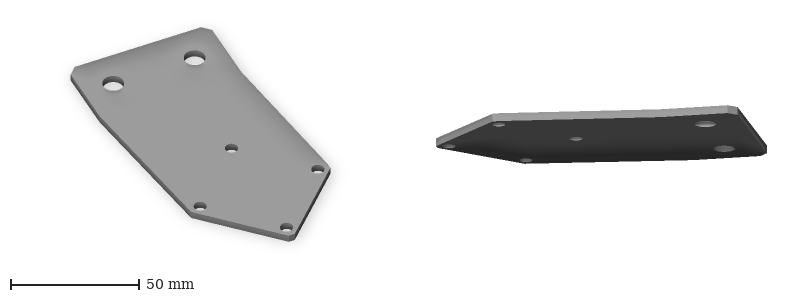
import cadquery as cq

length = 113.9
width = 102.2
thickness = 3.2

head_flat = 4.7
head_end_run = 38.5
head_side_run = 19.0

foot_edge = 42.4
foot_upper_corner = 42.6
foot_chamfer = 1.8

mount_diameter = 5.1
mount_pitch = 35.9
mount_edge_distance = 4.3
head_hole_diameter = 8.5
head_hole_pitch = 24.8
head_hole_x = 17.4
head_hole_y = 59.8

left_flat_top = width - head_end_run
left_flat_bottom = left_flat_top - head_flat
top_flat_right = head_end_run + head_flat

outline = [
    (0, left_flat_bottom),
    (0, left_flat_top),
    (head_end_run, width),
    (top_flat_right, width),
    (top_flat_right + head_side_run, width - head_side_run),
    (length - foot_chamfer, foot_upper_corner + foot_chamfer),
    (length, foot_upper_corner),
    (length, foot_chamfer),
    (length - foot_chamfer, 0),
    (length - foot_edge, 0),
    (head_side_run, left_flat_bottom - head_side_run),
]

plate = cq.Workplane("XY").polyline(outline).close().extrude(thickness)


def drill(body, centers, diameter):
    """Cut round through holes at the given centers."""
    cutters = cq.Workplane("XY").pushPoints(centers).circle(diameter / 2).extrude(thickness)
    return body.cut(cutters)


mount_right = length - mount_edge_distance
mount_centers = [
    (mount_right - column * mount_pitch, mount_edge_distance + row * mount_pitch)
    for column in range(2)
    for row in range(2)
]
plate = drill(plate, mount_centers, mount_diameter)

head_centers = [
    (head_hole_x + step * head_hole_pitch, head_hole_y + step * head_hole_pitch)
    for step in range(2)
]
plate = drill(plate, head_centers, head_hole_diameter)

result = plate